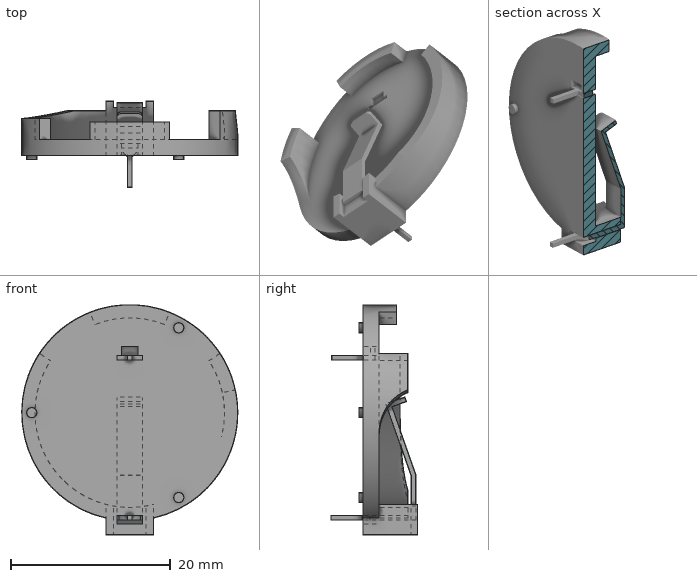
import cadquery as cq
import math


overall_length = 28.75
cup_diameter = 27.0
outer_radius = cup_diameter / 2
cavity_radius = 11.85
floor_height = 2.0
wall_height = 5.6
top_wall_height = 4.2
left_wall_height = 4.63
reach = cup_diameter

side_wall_end_angle = 33.3
top_wall_half_angle = 21.6
right_wall_foot_angle = 12.2
finger_curve_radius = 5.75
ramp_start_angle = 234.6
ramp_length = 11.0

tab_half_width = 3.0
tab_bottom = overall_length - outer_radius
tab_height = 6.8
saddle_half_width = 2.0
saddle_height = 6.0

foot_radius = 0.63
foot_height = 0.52
foot_circle_radius = 12.25
foot_count = 3
first_foot_angle = 60

sheet = 0.6
contact_half_width = 1.6
pin_half_width = sheet / 2

spring_back_z = -13.43
spring_relief_bottom_z = -13.92
spring_relief_depth = floor_height
spring_bend_z = -7.75
spring_slope = math.radians(19.4)
spring_leg_run = 8.5
spring_lip_length = 1.93
spring_lip_fillet = 0.5
shoulder_half_width = 1.35
shoulder_tip_y = -0.15
spring_pin_length = 4.0

base_plate_z = 6.55
base_arm_half_width = 1.0
base_arm_end_z = 8.25
base_arm_y = 0.92
base_plate_recess = 0.1
base_pin_length = 3.9


def box(x_range, y_range, z_range):
    """Box between two limits along each axis."""
    ranges = (x_range, y_range, z_range)
    size = [high - low for low, high in ranges]
    return cq.Workplane("XY").box(*size, centered=False).translate([low for low, high in ranges])


def centred(half_width):
    return (-half_width, half_width)


def disc(radius, y_start, y_end):
    """Disc about the housing axis."""
    return cq.Workplane("XZ", origin=(0, y_start, 0)).circle(radius).extrude(y_start - y_end)


def sector(start_angle, end_angle, y_start):
    """Wedge about the housing axis that takes everything above y_start."""
    points = [(0, 0)]
    for angle in (start_angle, (start_angle + end_angle) / 2, end_angle):
        turn = math.radians(angle)
        points.append((reach * math.cos(turn), reach * math.sin(turn)))
    return cq.Workplane("XZ", origin=(0, y_start, 0)).polyline(points).close().extrude(-reach)


def wall_top_cutter(start_angle, curve_length, curve_height, low_height):
    """Cutter for a wall top that falls along an arc, clockwise from start_angle.

    The arc drops by curve_height over curve_length and runs out flat at low_height.
    """
    profile = (
        cq.Workplane("ZY")
        .moveTo(0, reach)
        .lineTo(-reach, reach)
        .lineTo(-reach, low_height)
        .lineTo(-curve_length, low_height)
        .tangentArcPoint((0, low_height + curve_height), relative=False)
        .close()
    )
    return profile.extrude(-reach).rotate((0, 0, 0), (0, 1, 0), -start_angle)


def make_cup():
    """Round floor and wall, with the wall cut down to its different heights."""
    cup = disc(outer_radius, 0, wall_height).cut(disc(cavity_radius, floor_height, wall_height))

    top_wall_start = 90 - top_wall_half_angle
    top_wall_end = 90 + top_wall_half_angle
    cup = cup.cut(sector(top_wall_start, top_wall_end, top_wall_height))
    cup = cup.cut(sector(side_wall_end_angle, top_wall_start, floor_height))
    cup = cup.cut(sector(top_wall_end, 180 - side_wall_end_angle, floor_height))

    left_drop = wall_height - left_wall_height
    cup = cup.cut(wall_top_cutter(ramp_start_angle, ramp_length, left_drop, left_wall_height))

    finger_drop = wall_height - floor_height
    finger_length = math.sqrt(finger_curve_radius**2 - (finger_curve_radius - finger_drop) ** 2)
    return cup.cut(wall_top_cutter(right_wall_foot_angle, finger_length, finger_drop, floor_height))


def make_tab():
    """Block below the cup, hollowed by the cavity and saddled for the spring contact."""
    tab = box(centred(tab_half_width), (0, tab_height), (-tab_bottom, 0))
    tab = tab.cut(disc(cavity_radius, 0, tab_height))
    return tab.cut(box(centred(saddle_half_width), (saddle_height, tab_height), (-tab_bottom, 0)))


def make_housing():
    housing = make_cup().union(make_tab())
    for index in range(foot_count):
        turn = math.radians(first_foot_angle + index * 360 / foot_count)
        x = foot_circle_radius * math.cos(turn)
        z = foot_circle_radius * math.sin(turn)
        housing = housing.union(disc(foot_radius, -foot_height, 0).translate((x, 0, z)))

    spring_plate_range = (spring_back_z, spring_back_z + sheet)
    spring_relief_range = (spring_relief_bottom_z, spring_back_z)
    housing = housing.cut(box(centred(contact_half_width), (0, saddle_height), spring_plate_range))
    housing = housing.cut(box(centred(contact_half_width), (0, spring_relief_depth), spring_relief_range))

    base_plate_range = (base_plate_z, base_plate_z + sheet)
    base_arm_range = (base_plate_z + sheet, base_arm_end_z)
    housing = housing.cut(box(centred(contact_half_width), (0, floor_height), base_plate_range))
    return housing.cut(box(centred(base_arm_half_width), (0, floor_height), base_arm_range))


def make_spring_contact():
    """Upright plate, arm over the saddle, leg sloping into the cavity and upturned lip."""
    sine = math.sin(spring_slope)
    cosine = math.cos(spring_slope)
    half_miter = sheet * math.tan(spring_slope / 2)
    arm_y = saddle_height + sheet
    shoulder_y = shoulder_tip_y + shoulder_half_width - pin_half_width
    knee_z = spring_bend_z + spring_leg_run
    knee_y = arm_y - spring_leg_run * math.tan(spring_slope)
    lip_y = knee_y + spring_lip_length * cosine
    lip_z = knee_z + spring_lip_length * sine

    outline = [
        (spring_back_z, shoulder_y),
        (spring_back_z, arm_y),
        (spring_bend_z, arm_y),
        (knee_z, knee_y),
        (lip_z, lip_y),
        (lip_z + sheet * cosine, lip_y - sheet * sine),
        (knee_z + sheet * (cosine - sine), knee_y - sheet * (sine + cosine)),
        (spring_bend_z - half_miter, saddle_height),
        (spring_back_z + sheet, saddle_height),
        (spring_back_z + sheet, shoulder_y),
    ]
    strip = cq.Workplane("ZY").polyline(outline).close().extrude(contact_half_width, both=True)
    lip_corners = cq.selectors.ParallelDirSelector(cq.Vector(0, -sine, cosine))
    strip = strip.edges(lip_corners).edges(">Z").fillet(spring_lip_fillet)

    half_outline = [
        (0, shoulder_y),
        (shoulder_half_width, shoulder_y),
        (pin_half_width, shoulder_tip_y),
        (pin_half_width, -spring_pin_length),
        (0, -spring_pin_length),
    ]
    pin_plane = cq.Workplane("XY", origin=(0, 0, spring_back_z))
    pin = pin_plane.polyline(half_outline).mirrorY().extrude(sheet)
    return strip.union(pin)


def make_base_contact():
    """Upright plate just inside the back face, with a short arm at its top and a pin."""
    plate_range = (base_plate_z, base_plate_z + sheet)
    arm_range = (base_plate_z + sheet, base_arm_end_z)
    arm_top_y = base_arm_y + sheet
    contact = box(centred(contact_half_width), (base_plate_recess, arm_top_y), plate_range)
    contact = contact.union(box(centred(base_arm_half_width), (base_arm_y, arm_top_y), arm_range))
    return contact.union(box(centred(pin_half_width), (-base_pin_length, base_plate_recess), plate_range))


housing = make_housing()
spring_contact = make_spring_contact()
base_contact = make_base_contact()
bodies = [body.solids().val() for body in (housing, spring_contact, base_contact)]
result = cq.Compound.makeCompound(bodies)